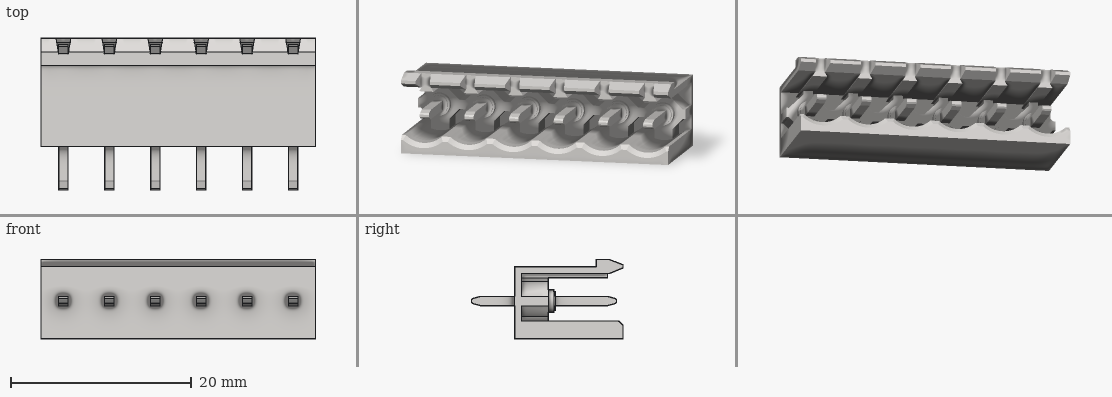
import cadquery as cq


pin_count = 6
pin_pitch = 5.08
end_margin = 2.485
body_length = (pin_count - 1) * pin_pitch + 2 * end_margin
pin_positions = [(i - (pin_count - 1) / 2) * pin_pitch for i in range(pin_count)]

body_depth = 12.0
body_height = 8.0
wall = 0.77
floor_thickness = 2.0
floor_chamfer = 0.5
ceiling_height = body_height - wall

latch_height = 0.8
latch_top = body_height + latch_height
latch_back = 9.0
latch_crest_end = 10.45
latch_under_start = 10.5
latch_tip_low = 7.85
latch_tip_high = 8.2

pin_width = 1.05
pin_axis_height = 4.19
pin_tail = 4.8
pin_reach = 11.28
pin_taper_length = 1.03
pin_tip_length = 0.18
pin_shoulder_height = 0.6
pin_tip_height = 0.25

support_depth = 3.72
collar_radius = 1.25
collar_end = 4.32
collar_nose_radius = 1.05
collar_nose_end = 4.5

support_flare = 2.2
support_crown = 0.53
support_foot = 1.05
support_crown_height = 6.34
support_foot_height = 2.49

channel_radius = 3.0

rib_bottom = 6.75
rib_end = 10.28
rib_top_width = 2 * support_crown
rib_bottom_width = 1.64

notch_back_width = 1.06
notch_mouth_width = 1.64


def extrude_along_y(profile, start, end):
    """Extrude an XZ profile from Y = start to Y = end."""
    return profile.extrude(start - end).translate((0, start, 0))


def cylinder_along_y(x, radius, start, end):
    profile = cq.Workplane("XZ").center(x, pin_axis_height).circle(radius)
    return extrude_along_y(profile, start, end)


def make_shroud():
    """C-shaped section, open at both ends, with the latch lip on its upper arm."""
    section = [
        (0, 0),
        (body_depth, 0),
        (body_depth, floor_thickness - floor_chamfer),
        (body_depth - floor_chamfer, floor_thickness),
        (wall, floor_thickness),
        (wall, ceiling_height),
        (latch_under_start, ceiling_height),
        (body_depth, latch_tip_low),
        (body_depth, latch_tip_high),
        (latch_crest_end, latch_top),
        (latch_back, latch_top),
        (latch_back, body_height),
        (0, body_height),
    ]
    return cq.Workplane("YZ").polyline(section).close().extrude(body_length / 2, both=True)


def make_channel(x):
    """Floor channel cutter, flared at the mouth to carry the floor chamfer around it."""
    flare_start = body_depth - floor_chamfer
    bore = cylinder_along_y(x, channel_radius, wall, body_depth)
    flare_profile = [
        (0, flare_start),
        (channel_radius, flare_start),
        (channel_radius + floor_chamfer, body_depth),
        (0, body_depth),
    ]
    flare = cq.Workplane("XY").polyline(flare_profile).close().revolve(360, (0, 0, 0), (0, 1, 0))
    floor_zone = cq.Workplane("XY").box(body_length, body_depth, floor_thickness, centered=(True, False, False))
    return bore.union(flare.translate((x, 0, pin_axis_height))).intersect(floor_zone)


def make_notch(x):
    """Latch lip cutter with vertical sides that spread toward the mouth."""
    plan = [
        (x - notch_back_width / 2, rib_end),
        (x + notch_back_width / 2, rib_end),
        (x + notch_mouth_width / 2, body_depth),
        (x - notch_mouth_width / 2, body_depth),
    ]
    cutter = cq.Workplane("XY").polyline(plan).close().extrude(latch_top - ceiling_height)
    return cutter.translate((0, 0, ceiling_height))


def make_rib(x):
    section = [
        (x - rib_bottom_width / 2, rib_bottom),
        (x + rib_bottom_width / 2, rib_bottom),
        (x + rib_top_width / 2, ceiling_height),
        (x - rib_top_width / 2, ceiling_height),
    ]
    return extrude_along_y(cq.Workplane("XZ").polyline(section).close(), 0, rib_end)


def make_web():
    web = cq.Workplane("XY").box(body_length, support_depth, pin_width, centered=(True, False, True))
    return web.translate((0, 0, pin_axis_height))


def make_support(x):
    web_top = pin_axis_height + pin_width / 2
    web_bottom = pin_axis_height - pin_width / 2
    right_side = [
        (support_foot, 0),
        (support_foot, support_foot_height),
        (support_flare, web_bottom),
        (support_flare, web_top),
        (support_crown, support_crown_height),
        (support_crown, ceiling_height),
    ]
    left_side = [(-half_width, z) for half_width, z in reversed(right_side)]
    section = [(x + offset, z) for offset, z in right_side + left_side]
    return extrude_along_y(cq.Workplane("XZ").polyline(section).close(), 0, support_depth)


def make_pin(x):
    """Square pin with two-step tapers, top and bottom, at both ends."""
    half_outline = [
        (-pin_tail, pin_tip_height),
        (-pin_tail + pin_tip_length, pin_shoulder_height),
        (-pin_tail + pin_taper_length, pin_width),
        (pin_reach - pin_taper_length, pin_width),
        (pin_reach - pin_tip_length, pin_shoulder_height),
        (pin_reach, pin_tip_height),
    ]
    upper = [(y, pin_axis_height + height / 2) for y, height in half_outline]
    lower = [(y, pin_axis_height - height / 2) for y, height in reversed(half_outline)]
    pin = cq.Workplane("YZ").polyline(upper + lower).close().extrude(pin_width / 2, both=True)
    return pin.translate((x, 0, 0))


def make_collar(x):
    flange = cylinder_along_y(x, collar_radius, support_depth, collar_end)
    return flange.union(cylinder_along_y(x, collar_nose_radius, collar_end, collar_nose_end))


result = make_shroud()
for x in pin_positions:
    result = result.cut(make_channel(x))
    result = result.cut(make_notch(x))

result = result.union(make_web())
for x in pin_positions:
    for make_feature in (make_support, make_rib, make_collar, make_pin):
        result = result.union(make_feature(x))